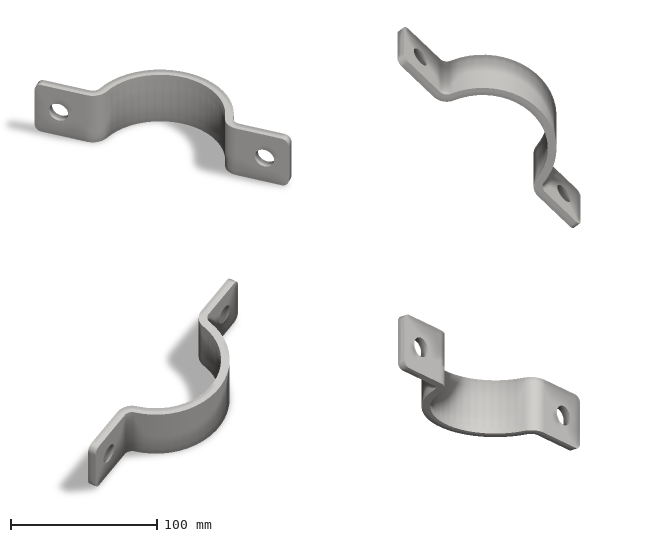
import cadquery as cq
import math

length = 185.0
depth = 47.7
width = 40.0
thickness = 6.0
saddle_inner_radius = 44.5
bend_inner_radius = 6.0
hole_spacing = 150.0
hole_diameter = 14.0
corner_radius = 5.0

saddle_outer_radius = saddle_inner_radius + thickness
saddle_center_y = depth - saddle_outer_radius
bend_outer_radius = bend_inner_radius + thickness

bend_center_y = bend_outer_radius
center_distance = saddle_outer_radius + bend_inner_radius
rise = bend_center_y - saddle_center_y
bend_center_x = math.sqrt(center_distance**2 - rise**2)
tangent_angle = math.atan2(rise, bend_center_x)


def saddle_point(radius):
    """Right-hand end of a saddle arc, where the bend begins."""
    return (radius * math.cos(tangent_angle),
            saddle_center_y + radius * math.sin(tangent_angle))


def bend_middle(radius):
    """Point halfway round the right-hand bend."""
    angle = (tangent_angle + math.pi + 1.5 * math.pi) / 2
    return (bend_center_x + radius * math.cos(angle),
            bend_center_y + radius * math.sin(angle))


def mirrored(point):
    return (-point[0], point[1])


def make_strip():
    """Bent strip with square flange ends, centred on Z = 0."""
    inner_end = saddle_point(saddle_inner_radius)
    outer_end = saddle_point(saddle_outer_radius)
    front_middle = bend_middle(bend_outer_radius)
    back_middle = bend_middle(bend_inner_radius)
    half_length = length / 2
    return (
        cq.Workplane("XY")
        .workplane(offset=-width / 2)
        .moveTo(-half_length, 0)
        .lineTo(-bend_center_x, 0)
        .threePointArc(mirrored(front_middle), mirrored(inner_end))
        .threePointArc((0, depth - thickness), inner_end)
        .threePointArc(front_middle, (bend_center_x, 0))
        .lineTo(half_length, 0)
        .lineTo(half_length, thickness)
        .lineTo(bend_center_x, thickness)
        .threePointArc(back_middle, outer_end)
        .threePointArc((0, depth), mirrored(outer_end))
        .threePointArc(mirrored(back_middle), (-bend_center_x, thickness))
        .lineTo(-half_length, thickness)
        .close()
        .extrude(width)
    )


def make_holes():
    """Bolt hole cutters, one through each flange."""
    return (
        cq.Workplane("XZ")
        .pushPoints([(-hole_spacing / 2, 0), (hole_spacing / 2, 0)])
        .circle(hole_diameter / 2)
        .extrude(-thickness)
    )


strip = make_strip()
for end_face in ("<X", ">X"):
    strip = strip.faces(end_face).edges("|Y").fillet(corner_radius)

result = strip.cut(make_holes())